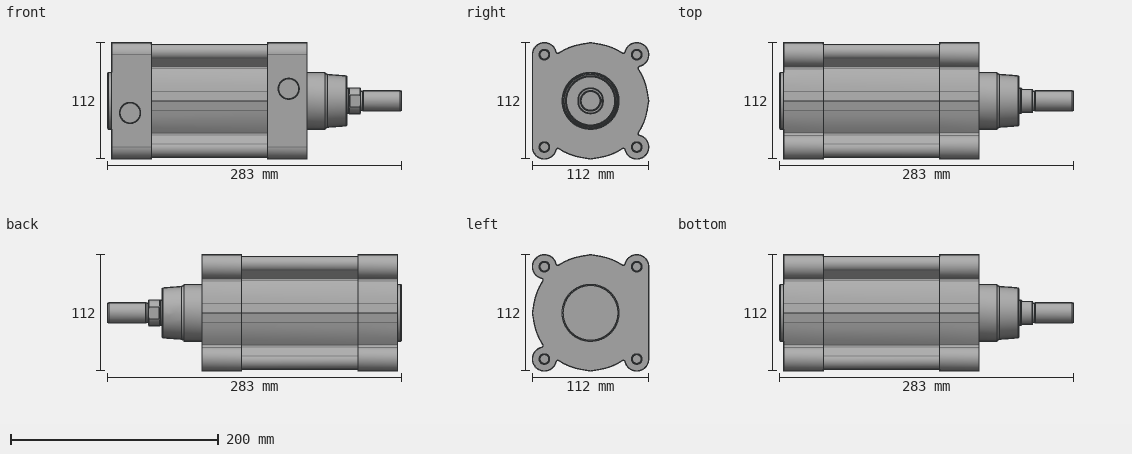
import cadquery as cq
import math


total_length = 283.0
cap_length = 38.2
barrel_length = 111.8
rear_face_x = 4.0
barrel_start_x = rear_face_x + cap_length
barrel_end_x = barrel_start_x + barrel_length
front_face_x = barrel_end_x + cap_length

ridge_half_width = 9.0

cap_half_size = 56.0
cap_lobe_radius = 11.5
cap_lobe_offset = cap_half_size - cap_lobe_radius
cap_notch_fillet = 1.7

mount_hole_radius = 4.2
mount_hole_depth = 17.0
mount_hole_chamfer = 0.8

port_radius = 9.5
port_depth = 22.5
port_chamfer = 0.5
port_height = 11.5
rear_port_x = 21.8
front_port_x = front_face_x - (rear_port_x - rear_face_x)

boss_radius = 27.5
rear_boss_chamfer = 1.0
front_boss_length = 17.0
nose_step_radius = 26.5
nose_step_length = 2.5
nose_start_radius = 25.5
nose_mid_radius = 25.0
nose_end_radius = 24.0
nose_length = 18.7
nose_chamfer = 0.8
nose_start_x = front_face_x + front_boss_length
nose_barrel_x = nose_start_x + nose_step_length
nose_end_x = nose_barrel_x + nose_length

barrel_half_size = 54.3
rib_radius = 7.5
rib_offset = barrel_half_size - rib_radius
rib_fillet = 1.5

rod_radius = 12.2
wrench_radius = 12.5
wrench_start_x = 232.0
wrench_bevel_length = 0.8
wrench_half_width = 11.0
rod_shoulder_x = 243.5
rod_shoulder_chamfer = 0.5
neck_radius = 9.3
neck_length = 1.7
thread_radius = 10.0
thread_start_x = 246.5
thread_chamfer_length = 1.5
thread_tip_radius = 9.0

CORNERS = [(sy, sz) for sy in (-1, 1) for sz in (-1, 1)]
CAP_RIDGE_TURNS = (0, 90, 270)
BARREL_RIDGE_TURNS = (0, 90, 180, 270)


def cylinder_x(x, radius, length, y=0.0, z=0.0):
    """Cylinder that starts at x and runs towards +X."""
    return cq.Workplane("YZ", origin=(x, y, z)).circle(radius).extrude(length)


def ridge_angle(half_size):
    """Angle between a ridge apex and the points where its flats meet the circle."""
    return math.asin(2 * ridge_half_width / half_size) / 2


def outline_radius(half_size):
    """Radius of the circle whose ridges reach the given half size."""
    return half_size * math.cos(ridge_angle(half_size))


def make_ridged_disc(x, half_size, length, ridge_turns):
    """Round disc along X with ridges at the given angles from +Y."""
    disc = cylinder_x(x, outline_radius(half_size), length)
    foot = outline_radius(half_size) * math.cos(ridge_angle(half_size))
    ridge_points = [(0, 0), (foot, -ridge_half_width), (half_size, 0), (foot, ridge_half_width)]
    for turn in ridge_turns:
        ridge = cq.Workplane("YZ", origin=(x, 0, 0)).polyline(ridge_points).close().extrude(length)
        disc = disc.union(ridge.rotate((0, 0, 0), (1, 0, 0), turn))
    return disc


def fillet_junctions(body, radius, size):
    """Round the inner corners parallel to X that lie on a circle about the X axis."""
    tolerance = 0.15
    junctions = [
        edge
        for edge in body.edges("|X").vals()
        if abs(math.hypot(edge.Center().y, edge.Center().z) - radius) < tolerance
        and min(abs(edge.Center().y), abs(edge.Center().z)) > 2 * ridge_half_width
    ]
    return body.newObject(junctions).fillet(size)


def make_cap_plate(x):
    plate = make_ridged_disc(x, cap_half_size, cap_length, CAP_RIDGE_TURNS)
    for sy, sz in CORNERS:
        lobe = cylinder_x(x, cap_lobe_radius, cap_length, sy * cap_lobe_offset, sz * cap_lobe_offset)
        plate = plate.union(lobe)
    plate = fillet_junctions(plate, outline_radius(cap_half_size), cap_notch_fillet)
    flat_side = cq.Workplane("XY").box(
        cap_length, cap_half_size, 2 * cap_lobe_offset, centered=(False, False, True)
    )
    return plate.union(flat_side.translate((x, -cap_half_size, 0)))


def mouth_cone(plane, origin, radius, chamfer, inward):
    """Cone frustum that widens a hole at its mouth."""
    return (
        cq.Workplane(plane, origin=origin)
        .circle(radius + chamfer)
        .workplane(offset=inward * chamfer)
        .circle(radius)
        .loft()
    )


def cut_mount_holes(cap, face_x, inward):
    """Chamfered blind holes in the lobes, drilled from an outer cap face."""
    for sy, sz in CORNERS:
        center = (face_x, sy * cap_lobe_offset, sz * cap_lobe_offset)
        hole = cq.Workplane("YZ", origin=center).circle(mount_hole_radius).extrude(inward * mount_hole_depth)
        mouth = mouth_cone("YZ", center, mount_hole_radius, mount_hole_chamfer, inward)
        cap = cap.cut(hole).cut(mouth)
    return cap


def cut_port(cap, x, z):
    """Chamfered blind air port drilled into the flat side."""
    center = (x, -cap_half_size, z)
    hole = cq.Workplane("XZ", origin=center).circle(port_radius).extrude(-port_depth)
    mouth = mouth_cone("XZ", center, port_radius, port_chamfer, -1)
    return cap.cut(hole).cut(mouth)


def make_rear_cap():
    boss = cylinder_x(0, boss_radius, rear_face_x).faces("<X").chamfer(rear_boss_chamfer)
    cap = make_cap_plate(rear_face_x).union(boss)
    cap = cut_mount_holes(cap, rear_face_x, 1)
    return cut_port(cap, rear_port_x, -port_height)


def make_nose():
    """Front boss and the slightly bulged nose, turned about the X axis."""
    bulge_end_x = nose_end_x - nose_chamfer
    bulge_mid_x = (nose_barrel_x + bulge_end_x) / 2
    return (
        cq.Workplane("XY")
        .moveTo(front_face_x, 0)
        .lineTo(front_face_x, boss_radius)
        .lineTo(nose_start_x, boss_radius)
        .lineTo(nose_start_x, nose_step_radius)
        .lineTo(nose_barrel_x, nose_start_radius)
        .threePointArc((bulge_mid_x, nose_mid_radius), (bulge_end_x, nose_end_radius))
        .lineTo(nose_end_x, nose_end_radius - nose_chamfer)
        .lineTo(nose_end_x, 0)
        .close()
        .revolve(360, (0, 0, 0), (1, 0, 0))
    )


def make_front_cap():
    cap = make_cap_plate(barrel_end_x).union(make_nose())
    cap = cut_mount_holes(cap, front_face_x, -1)
    cap = cut_port(cap, front_port_x, port_height)
    rod_bore = cylinder_x(barrel_end_x, rod_radius, nose_end_x - barrel_end_x)
    return cap.cut(rod_bore)


def make_barrel():
    barrel = make_ridged_disc(barrel_start_x, barrel_half_size, barrel_length, BARREL_RIDGE_TURNS)
    web_length = rib_offset * math.sqrt(2)
    for sy, sz in CORNERS:
        rib = cylinder_x(barrel_start_x, rib_radius, barrel_length, sy * rib_offset, sz * rib_offset)
        web = (
            cq.Workplane("XY")
            .box(barrel_length, web_length, 2 * rib_radius, centered=(False, False, True))
            .rotate((0, 0, 0), (1, 0, 0), math.degrees(math.atan2(sz, sy)))
            .translate((barrel_start_x, 0, 0))
        )
        barrel = barrel.union(web).union(rib)
    return fillet_junctions(barrel, outline_radius(barrel_half_size), rib_fillet)


def make_flat_cutter(side):
    """Block that mills one wrench flat, with a 45 degree run-out at its rear end."""
    depth = wrench_radius - wrench_half_width
    return (
        cq.Workplane("XY")
        .moveTo(wrench_start_x, side * wrench_radius)
        .lineTo(wrench_start_x + depth, side * wrench_half_width)
        .lineTo(rod_shoulder_x, side * wrench_half_width)
        .lineTo(rod_shoulder_x, side * wrench_radius)
        .close()
        .extrude(wrench_radius, both=True)
    )


def make_piston_rod():
    neck_end_x = rod_shoulder_x + neck_length
    rod = (
        cq.Workplane("XY")
        .moveTo(barrel_end_x, 0)
        .lineTo(barrel_end_x, rod_radius)
        .lineTo(wrench_start_x, rod_radius)
        .lineTo(wrench_start_x + wrench_bevel_length, wrench_radius)
        .lineTo(rod_shoulder_x - rod_shoulder_chamfer, wrench_radius)
        .lineTo(rod_shoulder_x, wrench_radius - rod_shoulder_chamfer)
        .lineTo(rod_shoulder_x, neck_radius)
        .lineTo(neck_end_x, neck_radius)
        .lineTo(thread_start_x, thread_radius)
        .lineTo(total_length - thread_chamfer_length, thread_radius)
        .lineTo(total_length, thread_tip_radius)
        .lineTo(total_length, 0)
        .close()
        .revolve(360, (0, 0, 0), (1, 0, 0))
    )
    for side in (-1, 1):
        rod = rod.cut(make_flat_cutter(side))
    return rod


rear_cap = make_rear_cap()
barrel = make_barrel()
front_cap = make_front_cap()
piston_rod = make_piston_rod()

bodies = [rear_cap, barrel, front_cap, piston_rod]
result = cq.Compound.makeCompound([body.solids().val() for body in bodies])